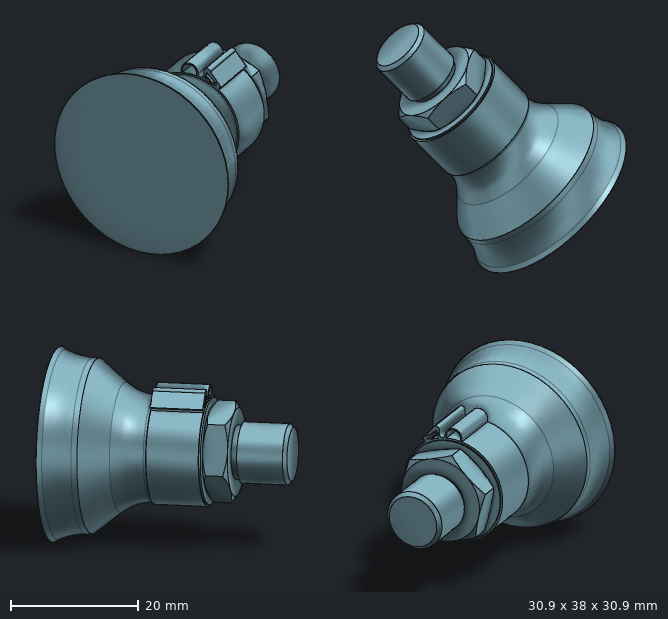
import cadquery as cq
import math


total_length = 38.0
rim_edge = 0.08
lip_height = 0.85
flare_end = 5.3
cone_start = 6.25
cone_end = 10.7
sleeve_start = 15.75
clamp_start = 16.22
clamp_end = 24.7
hex_start = 24.95
hex_end = 29.0
thread_start = 30.0

lip_radius = 30.95 / 2
face_radius = 15.42
flare_radius = 14.95
rim_radius = 13.95
flare_middle = (14.2, 3.1)
cone_base_radius = 13.85
cone_top_radius = 10.3
sleeve_radius = 17.0 / 2
clamp_radius = 8.8
neck_radius = 8.6 / 2
thread_radius = 9.73 / 2
thread_chamfer = 0.6

hex_across_flats = 13.98
hex_turn = 17.7
hex_chamfer_angle = 30.0

hump_diameter = 3.0
hump_top = 10.65
strip_base = 6.45
strip_thickness = 0.23


def cylinder(radius, start, end):
    """Cylinder about the Y axis between two axial stations."""
    return cq.Workplane("XZ", origin=(0, start, 0)).circle(radius).extrude(start - end)


def cup():
    """Cup and sleeve; concave arcs form the flare and the neck."""
    return (
        cq.Workplane("XY")
        .lineTo(face_radius, 0)
        .lineTo(lip_radius, rim_edge)
        .lineTo(flare_radius, lip_height)
        .threePointArc(flare_middle, (rim_radius, flare_end))
        .lineTo(cone_base_radius, cone_start)
        .lineTo(cone_top_radius, cone_end)
        .tangentArcPoint((sleeve_radius, sleeve_start), relative=False)
        .lineTo(sleeve_radius, hex_start)
        .lineTo(0, hex_start)
        .close()
        .revolve(360, (0, 0, 0), (0, 1, 0))
    )


def hexagon():
    """Hexagon with conical chamfers on both ends."""
    flat_radius = hex_across_flats / 2
    corner_radius = flat_radius / math.cos(math.radians(30))
    chamfer_height = (corner_radius - flat_radius) * math.tan(math.radians(hex_chamfer_angle))
    prism = (
        cq.Workplane("XZ", origin=(0, hex_start, 0))
        .polygon(6, 2 * corner_radius)
        .extrude(hex_start - hex_end)
        .rotate((0, 0, 0), (0, 1, 0), hex_turn)
    )
    envelope = (
        cq.Workplane("XY")
        .polyline([
            (0, hex_start),
            (flat_radius, hex_start),
            (corner_radius, hex_start + chamfer_height),
            (corner_radius, hex_end - chamfer_height),
            (flat_radius, hex_end),
            (0, hex_end),
        ])
        .close()
        .revolve(360, (0, 0, 0), (0, 1, 0))
    )
    return prism.intersect(envelope)


def stud():
    """Plain thread cylinder with a chamfered end, above a relief neck."""
    thread = cylinder(thread_radius, thread_start, total_length).faces(">Y").chamfer(thread_chamfer)
    return cylinder(neck_radius, hex_end, thread_start).union(thread)


def clamp():
    """Clamp ring closed by a thin strip that forms a hollow hump and a folded hook."""
    clamp_length = clamp_end - clamp_start
    plane = cq.Workplane("XZ", origin=(0, clamp_start, 0))
    ring = cylinder(clamp_radius, clamp_start, clamp_end)

    hump_radius = hump_diameter / 2
    hump_center = hump_top - hump_radius
    strip = (
        plane.moveTo(-hump_radius, strip_base)
        .lineTo(-hump_radius, hump_center)
        .threePointArc((0, hump_top), (hump_radius, hump_center))
        .tangentArcPoint((1.98, 8.62), relative=False)
        .tangentArcPoint((2.55, 9.35), relative=False)
        .lineTo(2.55, 9.8)
        .tangentArcPoint((3.72, 9.95), relative=False)
        .lineTo(5.62, 7.67)
        .lineTo(5.2, 7.45)
        .lineTo(5.2, strip_base)
        .close()
        .extrude(-clamp_length)
    )

    tunnel_radius = hump_radius - strip_thickness
    hump_tunnel = (
        plane.moveTo(-tunnel_radius, strip_base)
        .lineTo(-tunnel_radius, hump_center)
        .threePointArc((0, hump_center + tunnel_radius), (tunnel_radius, hump_center))
        .lineTo(tunnel_radius, strip_base)
        .close()
        .extrude(-clamp_length)
    )
    fold_gap = (
        plane.polyline([(2.9, 9.2), (3.0, 9.7), (4.7, 8.2), (4.7, 7.75), (4.25, 7.85)])
        .close()
        .extrude(-clamp_length)
    )
    hook_tunnel = (
        plane.polyline([(2.77, 9.05), (2.77, 7.98), (4.0, 7.67), (4.0, 7.9)])
        .close()
        .extrude(-clamp_length)
    )
    return strip.cut(hump_tunnel).cut(fold_gap).cut(hook_tunnel).union(ring)


result = cup().union(clamp()).union(hexagon()).union(stud())